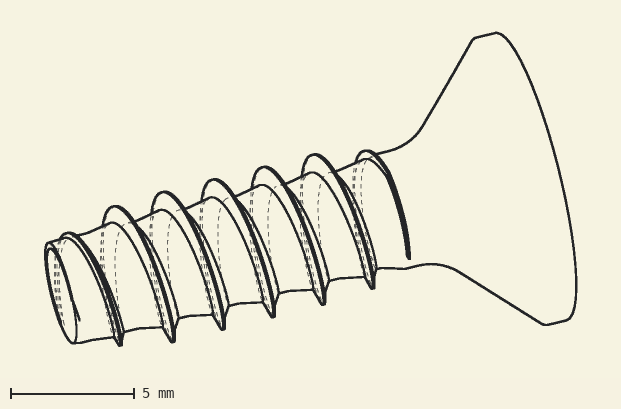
import math

import cadquery as cq


LENGTH = 20.0
HEAD_RADIUS = 6.0
HEAD_RIM_HEIGHT = 0.86
HEAD_EDGE_ROUND = 0.07

NECK_RADIUS = 2.4
NECK_FILLET_RADIUS = 2.4
CONE_ANGLE = math.radians(45)
NECK_END = 6.0
NECK_TAPER_LENGTH = 0.95

CORE_RADIUS = 2.13
TIP_RADIUS = 2.07
TIP_TAPER_LENGTH = 0.3
TIP_DISH_RADIUS = 2.0
TIP_DISH_DEPTH = 0.12

PITCH = 2.13
FIRST_CREST = 5.57
CREST_RADIUS = 3.0
START_CREST_RADIUS = 2.58
KNEE_RADIUS = 2.55
ROOT_RADIUS = 2.32
EMBED = 0.25
LAND_EMBED = 0.03
CREST_HALF_WIDTH = 0.04
KNEE_OFFSET = 0.17
HEAD_FLANK_OFFSET = 0.45
TIP_FLANK_OFFSET = 0.27
LAND_OFFSET = 1.4
START_TURN = 0
RUN_IN_TURN = 0.25
FULL_TURN = 1.25
RUN_OUT_TURN = 5.25
END_TURN = 6.75
POINTS_PER_TURN = 24

INNER_RADIUS = CORE_RADIUS - EMBED
LAND_END_RADIUS = CORE_RADIUS - LAND_EMBED
HEAD_FLANK_SLOPE = (HEAD_FLANK_OFFSET - KNEE_OFFSET) / (KNEE_RADIUS - CORE_RADIUS)
INNER_FLANK_OFFSET = HEAD_FLANK_OFFSET + EMBED * HEAD_FLANK_SLOPE
FULL_SECTION = [
    (INNER_RADIUS, -INNER_FLANK_OFFSET),
    (KNEE_RADIUS, -KNEE_OFFSET),
    (CREST_RADIUS, -CREST_HALF_WIDTH),
    (CREST_RADIUS, CREST_HALF_WIDTH),
    (ROOT_RADIUS, TIP_FLANK_OFFSET),
    (LAND_END_RADIUS, LAND_OFFSET),
    (INNER_RADIUS, LAND_OFFSET),
]


def thin_section(crest_radius, root_radius, blade_shift=0):
    """Section with a thin, low blade that can shift along the axis; the land stays in place."""
    return [
        (INNER_RADIUS, blade_shift - KNEE_OFFSET),
        (root_radius, blade_shift - 2 * CREST_HALF_WIDTH),
        (crest_radius, blade_shift - CREST_HALF_WIDTH),
        (crest_radius, blade_shift + CREST_HALF_WIDTH),
        (root_radius, blade_shift + 2 * CREST_HALF_WIDTH),
        (LAND_END_RADIUS, LAND_OFFSET),
        (INNER_RADIUS, LAND_OFFSET),
    ]


START_SHIFT = NECK_END - FIRST_CREST
END_CREST_RADIUS = LAND_END_RADIUS + LAND_EMBED / 2
END_ROOT_RADIUS = LAND_END_RADIUS + LAND_EMBED / 3
THREAD_STATIONS = [
    (START_TURN, thin_section(START_CREST_RADIUS, ROOT_RADIUS, START_SHIFT)),
    (RUN_IN_TURN, thin_section(START_CREST_RADIUS, ROOT_RADIUS)),
    (FULL_TURN, FULL_SECTION),
    (RUN_OUT_TURN, FULL_SECTION),
    (END_TURN, thin_section(END_CREST_RADIUS, END_ROOT_RADIUS)),
]


def shank_and_head():
    """Revolved head, filleted neck, core and dished tip."""
    fillet_drop = NECK_FILLET_RADIUS * (1 - math.cos(CONE_ANGLE))
    fillet_start_radius = NECK_RADIUS + fillet_drop
    fillet_start = HEAD_RIM_HEIGHT + (HEAD_RADIUS - fillet_start_radius) / math.tan(CONE_ANGLE)
    fillet_end = fillet_start + NECK_FILLET_RADIUS * math.sin(CONE_ANGLE)
    half_angle = CONE_ANGLE / 2
    fillet_middle = (
        NECK_RADIUS + NECK_FILLET_RADIUS * (1 - math.cos(half_angle)),
        fillet_end - NECK_FILLET_RADIUS * math.sin(half_angle),
    )
    profile = (
        cq.Workplane("YZ")
        .lineTo(HEAD_RADIUS, 0)
        .lineTo(HEAD_RADIUS, HEAD_RIM_HEIGHT)
        .lineTo(fillet_start_radius, fillet_start)
        .threePointArc(fillet_middle, (NECK_RADIUS, fillet_end))
        .lineTo(NECK_RADIUS, NECK_END)
        .lineTo(CORE_RADIUS, NECK_END + NECK_TAPER_LENGTH)
        .lineTo(CORE_RADIUS, LENGTH - TIP_TAPER_LENGTH)
        .lineTo(TIP_RADIUS, LENGTH)
        .lineTo(TIP_DISH_RADIUS, LENGTH)
        .lineTo(0, LENGTH - TIP_DISH_DEPTH)
        .close()
    )
    body = profile.revolve(360, (0, 0, 0), (0, 1, 0))
    rim_zone = cq.selectors.BoxSelector(
        (-HEAD_RADIUS, -HEAD_RADIUS, -HEAD_RIM_HEIGHT),
        (HEAD_RADIUS, HEAD_RADIUS, 2 * HEAD_RIM_HEIGHT),
    )
    return body.edges(rim_zone).edges("%CIRCLE").fillet(HEAD_EDGE_ROUND)


def helix_edge(start_corner, end_corner, start_turn, end_turn):
    """Helical edge that blends from one section corner to another."""
    steps = round((end_turn - start_turn) * POINTS_PER_TURN)
    points = []
    for step in range(steps + 1):
        blend = step / steps
        turn = start_turn + blend * (end_turn - start_turn)
        radius = start_corner[0] + blend * (end_corner[0] - start_corner[0])
        offset = start_corner[1] + blend * (end_corner[1] - start_corner[1])
        angle = 2 * math.pi * turn
        height = FIRST_CREST + PITCH * turn + offset
        points.append(cq.Vector(radius * math.cos(angle), radius * math.sin(angle), height))
    return cq.Edge.makeSpline(points)


def thread_sides(start_section, end_section, start_turn, end_turn):
    """Ruled helical faces of one stretch of thread."""
    edges = [
        helix_edge(start_corner, end_corner, start_turn, end_turn)
        for start_corner, end_corner in zip(start_section, end_section)
    ]
    return [
        cq.Face.makeRuledSurface(edge, next_edge)
        for edge, next_edge in zip(edges, edges[1:] + edges[:1])
    ]


def thread_cap(section, turn):
    """Flat end face of the thread in a plane through the axis."""
    angle = 2 * math.pi * turn
    height = FIRST_CREST + PITCH * turn
    points = [
        cq.Vector(radius * math.cos(angle), radius * math.sin(angle), height + offset)
        for radius, offset in section
    ]
    return cq.Face.makeFromWires(cq.Wire.makePolygon(points, close=True))


def thread():
    """Thread with run-in and run-out, trimmed to the span from neck to tip."""
    faces = []
    for (start_turn, start_section), (end_turn, end_section) in zip(THREAD_STATIONS, THREAD_STATIONS[1:]):
        faces += thread_sides(start_section, end_section, start_turn, end_turn)
    for turn, section in (THREAD_STATIONS[0], THREAD_STATIONS[-1]):
        faces.append(thread_cap(section, turn))
    ridge = cq.Solid.makeSolid(cq.Shell.makeShell(faces)).fix()
    span = cq.Workplane("XY", origin=(0, 0, NECK_END)).circle(HEAD_RADIUS).extrude(LENGTH - NECK_END)
    return span.intersect(cq.Workplane(ridge))


screw = shank_and_head().union(thread())
result = screw.rotate((0, 0, 0), (1, 0, 0), 90)